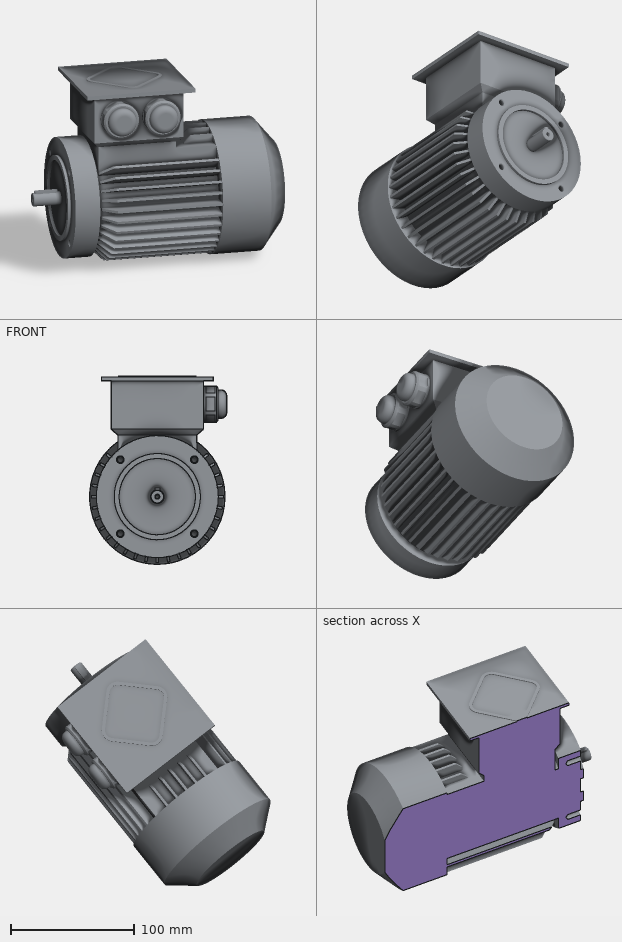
import cadquery as cq
import math


overall_length = 203.0
shaft_tip_y = -23.0
pilot_height = 2.5
flange_thickness = 20.7
housing_start_y = 23.8
cover_start_y = 122.6
cover_cone_start_y = 163.2
cover_end_y = shaft_tip_y + overall_length

cover_radius = 110.0 / 2
cover_end_radius = 70.0 / 2
core_radius = 82.0 / 2
flange_radius = 99.0 / 2
pilot_radius = 70.0 / 2
recess_radius = 62.0 / 2

shaft_dia = 11.0
shaft_chamfer = 0.5
center_hole_dia = 3.2
center_hole_mouth_dia = 4.0
center_hole_depth = 6.0
key_width = 4.0
key_length = 19.9
key_setback = 1.2
key_top_z = 7.1

bolt_hole_dia = 4.9
bolt_hole_mouth_dia = 6.0
bolt_hole_depth = 12.2
bolt_spacing = 60.0
drill_point_angle = 118.0

fin_radius = 53.5
fin_thickness = 2.0
fin_chamfer = 10.5
fin_pitch_angle = 10
fin_first_angle = -220
fin_last_angle = 40
top_fin_radius = 54.2
top_fin_pitch = 10.0
top_fin_count = 5
top_fin_start_y = 98.7
top_fin_chamfer = 5.9

saddle_width = 64.1
saddle_low_z = 44.0
saddle_high_z = 50.0

box_center_y = 56.5
box_side = 75.1
neck_side = 65.4
flare_top_z = 54.8
lid_bottom_z = 94.0
lid_side = 91.0
lid_thickness = 3.2

frame_center_y = 54.2
frame_side = 49.7
frame_corner_radius = 9.1
frame_rail = 2.6
frame_height = 0.8

gland_z = 75.1
gland_spacing = 35.0
nut_dia = 29.5
nut_length = 11.8
nut_chamfer = 1.5
flats_across = 27.2
flats_offset = 1.8
flats_length = 7.5
cap_dia = 23.3
cap_length = 7.1
cap_fillet = 5.0


def make_body():
    """Flange, core and fan cover as one turned shape."""
    profile = [
        (0, 0),
        (recess_radius, 0),
        (recess_radius, -pilot_height),
        (pilot_radius, -pilot_height),
        (pilot_radius, 0),
        (flange_radius, 0),
        (flange_radius, flange_thickness),
        (core_radius, flange_thickness),
        (core_radius, cover_start_y),
        (cover_radius, cover_start_y),
        (cover_radius, cover_cone_start_y),
        (cover_end_radius, cover_end_y),
        (0, cover_end_y),
    ]
    return cq.Workplane("XY").polyline(profile).close().revolve(360, (0, 0, 0), (0, 1, 0))


def make_fin(start_y, chamfer, tip_z):
    """Upright fin on X = 0 from the shaft axis to tip_z, with its front corner cut at 45 degrees."""
    outline = [
        (start_y, 0),
        (start_y, tip_z - chamfer),
        (start_y + chamfer, tip_z),
        (cover_start_y, tip_z),
        (cover_start_y, 0),
    ]
    return cq.Workplane("YZ").polyline(outline).close().extrude(fin_thickness / 2, both=True)


def add_fins(body):
    """Radial fins round the sides and bottom, then upright fins behind the terminal box."""
    radial_fin = make_fin(housing_start_y, fin_chamfer, fin_radius)
    for angle in range(fin_first_angle, fin_last_angle + 1, fin_pitch_angle):
        body = body.union(radial_fin.rotate((0, 0, 0), (0, 1, 0), 90 - angle))
    for index in range(top_fin_count):
        x = (index - (top_fin_count - 1) / 2) * top_fin_pitch
        tip_z = math.sqrt(top_fin_radius**2 - x**2)
        body = body.union(make_fin(top_fin_start_y, top_fin_chamfer, tip_z).translate((x, 0, 0)))
    return body


def make_saddle():
    """Stepped block that carries the box and runs back to the fan cover."""
    step_y = box_center_y + neck_side / 2
    outline = [
        (housing_start_y, 0),
        (housing_start_y, saddle_high_z),
        (step_y, saddle_high_z),
        (step_y, saddle_low_z),
        (cover_start_y, saddle_low_z),
        (cover_start_y, 0),
    ]
    return cq.Workplane("YZ").polyline(outline).close().extrude(saddle_width / 2, both=True)


def make_terminal_box():
    """Flared base, square box, overhanging lid and raised frame."""
    def plan(z):
        return cq.Workplane("XY", origin=(0, box_center_y, z))

    flare = (
        plan(saddle_high_z)
        .rect(saddle_width, neck_side)
        .workplane(offset=flare_top_z - saddle_high_z)
        .rect(box_side, box_side)
        .loft(ruled=True)
    )
    box = plan(flare_top_z).rect(box_side, box_side).extrude(lid_bottom_z - flare_top_z)
    lid = plan(lid_bottom_z).rect(lid_side, lid_side).extrude(lid_thickness)
    return flare.union(box).union(lid).union(make_frame())


def make_frame():
    """Square rail with rounded corners, turned 45 degrees on the lid."""
    def rounded_square(side, corner_radius):
        square = cq.Workplane("XY").rect(side, side).extrude(frame_height)
        return square.edges("|Z").fillet(corner_radius)

    outer = rounded_square(frame_side, frame_corner_radius)
    inner = rounded_square(frame_side - 2 * frame_rail, frame_corner_radius - frame_rail)
    frame = outer.cut(inner).rotate((0, 0, 0), (0, 0, 1), 45)
    return frame.translate((0, frame_center_y, lid_bottom_z + lid_thickness))


def make_gland(y):
    """Cable gland: chamfered round nut with six milled flats and a rounded cap."""
    base = cq.Workplane("YZ", origin=(box_side / 2, y, gland_z))
    nut = base.circle(nut_dia / 2).extrude(nut_length).faces(">X").chamfer(nut_chamfer)
    hexagon_corners = flats_across / math.cos(math.radians(30))
    flats = (
        base.workplane(offset=flats_offset)
        .circle(nut_dia)
        .extrude(flats_length)
        .cut(
            base.workplane(offset=flats_offset)
            .transformed(rotate=(0, 0, 30))
            .polygon(6, hexagon_corners)
            .extrude(flats_length)
        )
    )
    cap = base.workplane(offset=nut_length).circle(cap_dia / 2).extrude(cap_length)
    return nut.cut(flats).union(cap.faces(">X").edges().fillet(cap_fillet))


def make_shaft():
    """Plain shaft with a round-ended key on top."""
    shaft = cq.Workplane("XZ").circle(shaft_dia / 2).extrude(-shaft_tip_y)
    shaft = shaft.faces("<Y").chamfer(shaft_chamfer)
    key_center_y = shaft_tip_y + key_setback + key_length / 2
    key = (
        cq.Workplane("XY", origin=(0, key_center_y, 0))
        .slot2D(key_length, key_width, 90)
        .extrude(key_top_z)
    )
    return shaft.union(key)


def make_drilling(x, y, z, diameter, mouth_diameter, depth):
    """Blind hole running toward +Y, with a 45 degree mouth chamfer and a drill point."""
    radius = diameter / 2
    mouth_radius = mouth_diameter / 2
    point = radius / math.tan(math.radians(drill_point_angle / 2))
    profile = [
        (0, 0),
        (mouth_radius, 0),
        (radius, mouth_radius - radius),
        (radius, depth),
        (0, depth + point),
    ]
    hole = cq.Workplane("XY").polyline(profile).close().revolve(360, (0, 0, 0), (0, 1, 0))
    return hole.translate((x, y, z))


motor = add_fins(make_body()).union(make_saddle()).union(make_terminal_box()).union(make_shaft())

for side in (-1, 1):
    motor = motor.union(make_gland(box_center_y + side * gland_spacing / 2))

for x_side in (-1, 1):
    for z_side in (-1, 1):
        bolt_x = x_side * bolt_spacing / 2
        bolt_z = z_side * bolt_spacing / 2
        bolt_hole = make_drilling(bolt_x, 0, bolt_z, bolt_hole_dia, bolt_hole_mouth_dia, bolt_hole_depth)
        motor = motor.cut(bolt_hole)

center_hole = make_drilling(
    0, shaft_tip_y, 0, center_hole_dia, center_hole_mouth_dia, center_hole_depth
)
result = motor.cut(center_hole)